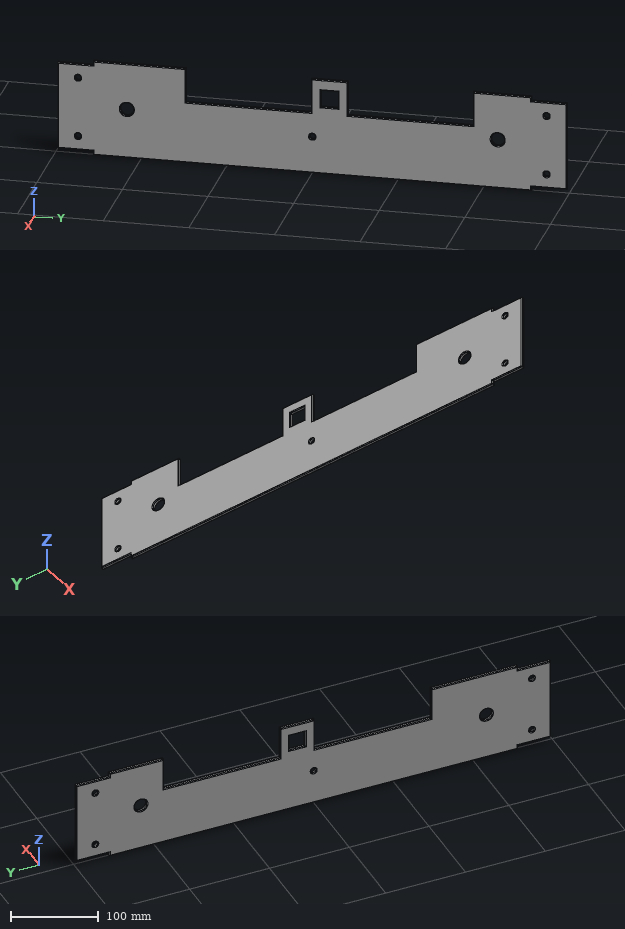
import cadquery as cq

THICKNESS = 5.0
LENGTH = 595.0
HEIGHT = 115.0

END_LENGTH = 41.5
END_STEP = 5.0

NOTCH_DEPTH = 41.0
NOTCH_END_HIGH_Y = 188.0
NOTCH_END_LOW_Y = -147.5
TAB_HIGH_Y = 41.5
TAB_LOW_Y = -1.0

WINDOW_SIZE = 20.0
WINDOW_TOP_MARGIN = 13.0

LARGE_HOLE_DIAMETER = 15.5
LARGE_HOLE_Y = 216.5
LARGE_HOLE_Z = 2.0
SMALL_HOLE_DIAMETER = 6.5
CORNER_HOLE_Y = 273.5
CORNER_HOLE_Z = 35.5
CENTRE_HOLE_Z = -13.0

EDGE_CHAMFER = 1.0

HALF_LENGTH = LENGTH / 2
TOP = HEIGHT / 2


def box_between(y_low, y_high, z_low, z_high):
    """Block through the plate thickness, spanning the given Y and Z limits."""
    return cq.Workplane("XY").box(THICKNESS, y_high - y_low, z_high - z_low).translate(
        (0, (y_low + y_high) / 2, (z_low + z_high) / 2)
    )


def hole(y, z, diameter):
    """Cylinder along X, through the plate thickness."""
    return (
        cq.Workplane("YZ", origin=(0, y, z))
        .circle(diameter / 2)
        .extrude(THICKNESS / 2, both=True)
    )


body_half_length = HALF_LENGTH - END_LENGTH
tongue_top = TOP - END_STEP
plate = box_between(-body_half_length, body_half_length, -TOP, TOP)
plate = plate.union(box_between(-HALF_LENGTH, HALF_LENGTH, -tongue_top, tongue_top))

notch_floor = TOP - NOTCH_DEPTH
plate = plate.cut(box_between(TAB_HIGH_Y, NOTCH_END_HIGH_Y, notch_floor, TOP))
plate = plate.cut(box_between(NOTCH_END_LOW_Y, TAB_LOW_Y, notch_floor, TOP))

window_y = (TAB_HIGH_Y + TAB_LOW_Y) / 2
window_top = TOP - WINDOW_TOP_MARGIN
plate = plate.cut(
    box_between(
        window_y - WINDOW_SIZE / 2,
        window_y + WINDOW_SIZE / 2,
        window_top - WINDOW_SIZE,
        window_top,
    )
)

for y in (-LARGE_HOLE_Y, LARGE_HOLE_Y):
    plate = plate.cut(hole(y, LARGE_HOLE_Z, LARGE_HOLE_DIAMETER))

for y in (-CORNER_HOLE_Y, CORNER_HOLE_Y):
    for z in (-CORNER_HOLE_Z, CORNER_HOLE_Z):
        plate = plate.cut(hole(y, z, SMALL_HOLE_DIAMETER))
plate = plate.cut(hole(0, CENTRE_HOLE_Z, SMALL_HOLE_DIAMETER))

result = plate.faces("<X or >X").edges().chamfer(EDGE_CHAMFER)